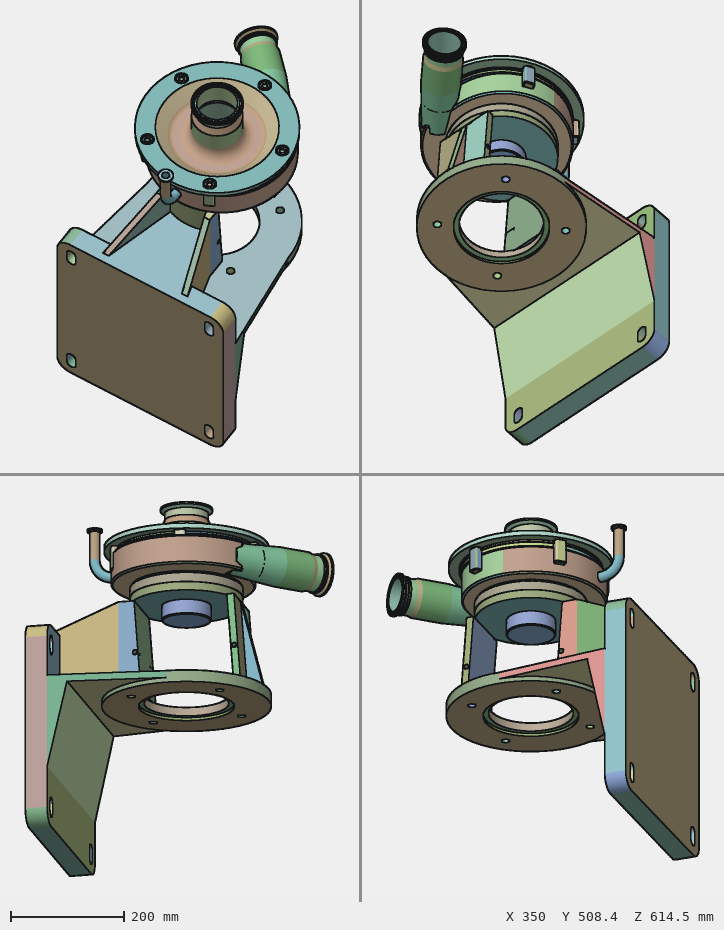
import cadquery as cq
import math


plate_width = 350.0
plate_height = 372.0
plate_front_y = -250.0
plate_thickness = 40.0
plate_back_y = plate_front_y + plate_thickness
plate_corner_radius = 27.5
slot_length = 35.5
slot_width = 18.5
slot_spacing_x = 290.0
slot_spacing_z = 300.0

shelf_top_z = 271.5
shelf_thickness = 13.0
shelf_radius = 150.0
motor_pad_thickness = 21.5
motor_bore_radius = 75.0
motor_recess_radius = 85.0
motor_recess_depth = 5.5
motor_hole_diameter = 14.0
motor_hole_circle_radius = 113.5
motor_hole_count = 4
motor_hole_first_angle = 45.0
brace_depth = 35.0
brace_bottom_z = 103.0

upright_top_z = 435.0
upright_half_width = 56.0
upright_lean = 12.0
front_wall_inner_y = -82.0
back_plate_inner_y = 87.0
back_plate_thickness = 13.0
back_rib_thickness = 12.0
back_rib_reach = 142.0
gusset_thickness = 11.5
gusset_angle = 15.0
gusset_knee_y = -110.0
gusset_end_y = -233.5
guard_hole_diameter = 8.5
guard_hole_depth = 18.5
guard_hole_z = 340.0
front_guard_hole_y = -80.0

backplate_radius = 100.0
lantern_ring_radius = 99.5
backplate_joint_z = 450.5
backplate_groove_radius = 98.0
backplate_top_z = 467.5
hub_radius = 43.5
hub_bottom_z = 408.0
hub_chamfer = 2.0
volute_radius = 134.5
volute_offset_x = 8.0
volute_offset_y = 3.0
volute_throat_angle = 60.0
volute_back_radius = 121.5
volute_bottom_z = 471.5
volute_top_z = 525.0
volute_chamfer = 3.0
lip_radius = 125.0

cover_radius = 145.5
cover_bottom_z = 535.0
cover_top_z = 544.5
cover_step_radius = 127.0
cover_step_height = 3.5
dish_rim_radius = 109.5
dish_rim_chamfer = 1.0
dish_depth = 24.5
dish_cone_foot_radius = 87.0
dish_cone_foot_depth = 21.0
dish_floor_outer_radius = 77.0
dish_floor_inner_radius = 67.0
inlet_radius = 45.5
inlet_cone_bottom_z = 579.0
inlet_cone_top_z = 593.0
inlet_neck_radius = 39.0
inlet_rim_radius = 46.0
inlet_rim_thickness = 3.5
inlet_rim_taper = 4.0
inlet_bore_radius = 36.0
inlet_bore_neck_bottom_z = 574.5
inlet_bore_wide_top_z = 560.5
inlet_bore_wide_radius = 42.5
inlet_bore_bottom_z = 497.0
inlet_top_z = 614.5

groove_width = 3.0
groove_depth = 1.0
inlet_groove_radius = 42.0
outlet_groove_radius = 34.5

bolt_count = 5
bolt_first_angle = 9.0
bolt_circle_radius = 126.0
bolt_boss_width = 20.0
bolt_boss_inner_radius = 113.5
bolt_boss_outer_radius = 137.0
bolt_boss_bottom_z = 492.0
bolt_boss_rounding = 3.5
bolt_boss_foot_chamfer = 2.0
bolt_recess_radius = 11.5
bolt_recess_depth = 7.5
bolt_head_radius = 9.0
bolt_head_gap = 0.5
bolt_socket_width = 10.0
bolt_socket_depth = 3.5

outlet_angle = 135.0
outlet_offset = 115.0
outlet_z = 496.5
outlet_start = 18.5
outlet_cone_end = 117.5
outlet_pipe_end = 174.0
outlet_neck_start = 182.0
outlet_end = 211.5
outlet_start_radius = 28.0
outlet_radius = 35.5
outlet_neck_radius = 33.0
outlet_rim_radius = 39.0
outlet_rim_thickness = 3.5
outlet_rim_taper = 4.0
outlet_bore_radius = 30.0
outlet_bore_start = 74.0
outlet_bead_start = 195.5
outlet_bead_end = 200.0
outlet_bead_radius = 35.0

drain_radius = 9.0
drain_bore_radius = 7.0
drain_y = -167.0
drain_bend_radius = 34.0
drain_inlet_z = 498.5
drain_top_z = 588.5
drain_rim_radius = 13.5
drain_rim_thickness = 2.5
drain_rim_taper = 2.5
drain_root_y = -117.0


def cylinder(radius, bottom_z, top_z, x=0.0, y=0.0):
    return cq.Workplane("XY", origin=(x, y, bottom_z)).circle(radius).extrude(top_z - bottom_z)


def box_between(x_range, y_range, z_range):
    lows = [r[0] for r in (x_range, y_range, z_range)]
    sizes = [r[1] - r[0] for r in (x_range, y_range, z_range)]
    return cq.Workplane("XY").box(*sizes, centered=False).translate(tuple(lows))


def side_profile(points, half_width):
    """Extrude a (Y, Z) outline symmetrically along X."""
    return cq.Workplane("YZ").polyline(points).close().extrude(half_width, both=True)


def wall_plate():
    centre = (0, plate_back_y, plate_height / 2)
    plate = (
        cq.Workplane("XZ", origin=centre)
        .rect(plate_width, plate_height)
        .extrude(plate_thickness)
        .edges("|Y")
        .fillet(plate_corner_radius)
    )
    slots = (
        cq.Workplane("XZ", origin=centre)
        .rect(slot_spacing_x, slot_spacing_z, forConstruction=True)
        .vertices()
        .slot2D(slot_length, slot_width, 90)
        .extrude(plate_thickness)
    )
    return plate.cut(slots)


def shelf_outline(bottom_z, top_z):
    """Plan shape of the shelf: a half disc widening to the full width of the wall plate."""
    half_width = plate_width / 2
    return (
        cq.Workplane("XY", origin=(0, 0, bottom_z))
        .moveTo(shelf_radius, 0)
        .threePointArc((0, shelf_radius), (-shelf_radius, 0))
        .lineTo(-half_width, plate_back_y)
        .lineTo(half_width, plate_back_y)
        .close()
        .extrude(top_z - bottom_z)
    )


def shelf():
    slab_bottom_z = shelf_top_z - shelf_thickness
    pad_bottom_z = shelf_top_z - motor_pad_thickness
    brace = side_profile(
        [
            (plate_back_y, brace_bottom_z),
            (plate_back_y, slab_bottom_z),
            (plate_back_y + brace_depth, slab_bottom_z),
        ],
        plate_width / 2,
    ).intersect(shelf_outline(brace_bottom_z, slab_bottom_z))
    holes = (
        cq.Workplane("XY", origin=(0, 0, pad_bottom_z))
        .polarArray(motor_hole_circle_radius, motor_hole_first_angle, 360, motor_hole_count)
        .circle(motor_hole_diameter / 2)
        .extrude(motor_pad_thickness)
    )
    return (
        shelf_outline(slab_bottom_z, shelf_top_z)
        .union(cylinder(shelf_radius, pad_bottom_z, shelf_top_z))
        .union(brace)
        .cut(cylinder(motor_bore_radius, pad_bottom_z, shelf_top_z))
        .cut(cylinder(motor_recess_radius, pad_bottom_z, pad_bottom_z + motor_recess_depth))
        .cut(holes)
    )


def front_upright():
    """Curved front wall, two splayed gussets, and the solid web between them up to the plate top."""
    wall = side_profile(
        [
            (front_wall_inner_y, upright_top_z),
            (front_wall_inner_y + upright_lean, shelf_top_z),
            (-lantern_ring_radius, shelf_top_z),
            (-lantern_ring_radius, upright_top_z),
        ],
        upright_half_width,
    ).intersect(cylinder(lantern_ring_radius, shelf_top_z, upright_top_z))

    splay = math.tan(math.radians(gusset_angle))
    width_across = gusset_thickness / math.cos(math.radians(gusset_angle))
    end_x = upright_half_width + splay * (gusset_knee_y - gusset_end_y)
    root_y = front_wall_inner_y + upright_lean
    root_x = upright_half_width - width_across + splay * (gusset_knee_y - root_y)
    side_outline = [
        (upright_half_width, root_y),
        (upright_half_width, gusset_knee_y),
        (end_x, gusset_end_y),
        (end_x - width_across, gusset_end_y),
        (root_x, root_y),
    ]
    height = upright_top_z - shelf_top_z
    base = cq.Workplane("XY", origin=(0, 0, shelf_top_z))
    gusset = base.polyline(side_outline).close().extrude(height)
    gussets = gusset.union(gusset.mirror("YZ"))
    web = (
        base.polyline([(root_x, root_y), (end_x, gusset_end_y), (-end_x, gusset_end_y), (-root_x, root_y)])
        .close()
        .extrude(plate_height - shelf_top_z)
    )
    slope = side_profile(
        [
            (front_wall_inner_y, upright_top_z),
            (root_y, shelf_top_z),
            (plate_back_y, shelf_top_z),
            (plate_back_y, plate_height),
            (gusset_end_y, plate_height),
            (gusset_knee_y, upright_top_z),
        ],
        plate_width / 2,
    )
    return wall.union(gussets.union(web).intersect(slope))


def back_upright():
    """Leaning plate stiffened by one rib on its rear face."""
    outer_y = back_plate_inner_y + back_plate_thickness
    plate = side_profile(
        [
            (back_plate_inner_y, upright_top_z),
            (outer_y, upright_top_z),
            (outer_y + upright_lean, shelf_top_z),
            (back_plate_inner_y + upright_lean, shelf_top_z),
        ],
        upright_half_width,
    )
    rib = side_profile(
        [(outer_y, upright_top_z), (back_rib_reach, shelf_top_z), (outer_y, shelf_top_z)],
        back_rib_thickness / 2,
    )
    return plate.union(rib)


def guard_holes():
    drop = (upright_top_z - guard_hole_z) / (upright_top_z - shelf_top_z)
    back_y = back_plate_inner_y + back_plate_thickness / 2 + upright_lean * drop
    holes = cq.Workplane("XY")
    for y in (front_guard_hole_y, back_y):
        for side in (-1, 1):
            hole = (
                cq.Workplane("YZ", origin=(side * upright_half_width, y, guard_hole_z))
                .circle(guard_hole_diameter / 2)
                .extrude(-side * guard_hole_depth)
            )
            holes = holes.add(hole)
    return holes.combine()


def volute():
    """Spiral chamber: one wide arc off the pump axis, closed by a narrower arc behind the axis."""
    throat = math.radians(volute_throat_angle)
    start = (volute_offset_x - volute_radius, volute_offset_y)
    lowest = (volute_offset_x, volute_offset_y - volute_radius)
    throat_end = (
        volute_offset_x + volute_radius * math.cos(throat),
        volute_offset_y + volute_radius * math.sin(throat),
    )
    mean_reach = (volute_back_radius - start[0]) / 2 * math.sqrt(0.5)
    return (
        cq.Workplane("XY", origin=(0, 0, volute_bottom_z))
        .moveTo(*start)
        .threePointArc(lowest, throat_end)
        .lineTo(0, volute_back_radius)
        .threePointArc((-mean_reach, mean_reach), start)
        .close()
        .extrude(volute_top_z - volute_bottom_z)
        .faces("<Z or >Z")
        .chamfer(volute_chamfer)
    )


def casing():
    hub = cylinder(hub_radius, hub_bottom_z, upright_top_z).faces("<Z").chamfer(hub_chamfer)
    return (
        cylinder(lantern_ring_radius, upright_top_z, backplate_joint_z)
        .union(cylinder(backplate_radius, backplate_joint_z, backplate_top_z))
        .union(cylinder(backplate_groove_radius, backplate_top_z, volute_bottom_z))
        .union(hub)
        .union(volute())
        .union(cylinder(lip_radius, volute_top_z, cover_bottom_z))
    )


def cover_and_inlet():
    """Cover disc with a dished top and the inlet pipe, turned about the pump axis."""
    floor_z = cover_top_z - dish_depth
    blend_radius = dish_floor_inner_radius - inlet_radius
    blend_reach = blend_radius * (1 - math.sqrt(0.5))
    rim_base_z = inlet_top_z - inlet_rim_thickness
    return (
        cq.Workplane("XZ")
        .moveTo(0, volute_bottom_z)
        .lineTo(dish_rim_radius, volute_bottom_z)
        .lineTo(dish_rim_radius, volute_top_z)
        .lineTo(lip_radius, volute_top_z)
        .lineTo(lip_radius, cover_bottom_z - cover_step_height)
        .lineTo(cover_step_radius, cover_bottom_z - cover_step_height)
        .lineTo(cover_step_radius, cover_bottom_z)
        .lineTo(cover_radius, cover_bottom_z)
        .lineTo(cover_radius, cover_top_z)
        .lineTo(dish_rim_radius, cover_top_z)
        .lineTo(dish_rim_radius - dish_rim_chamfer, cover_top_z - dish_rim_chamfer)
        .lineTo(dish_cone_foot_radius, cover_top_z - dish_cone_foot_depth)
        .tangentArcPoint((dish_floor_outer_radius, floor_z), relative=False)
        .lineTo(dish_floor_inner_radius, floor_z)
        .threePointArc(
            (inlet_radius + blend_reach, floor_z + blend_reach),
            (inlet_radius, floor_z + blend_radius),
        )
        .lineTo(inlet_radius, inlet_cone_bottom_z)
        .lineTo(inlet_neck_radius, inlet_cone_top_z)
        .lineTo(inlet_neck_radius, rim_base_z - inlet_rim_taper)
        .lineTo(inlet_rim_radius, rim_base_z)
        .lineTo(inlet_rim_radius, inlet_top_z)
        .lineTo(0, inlet_top_z)
        .close()
        .revolve(360, (0, 0, 0), (0, 1, 0))
    )


def outlet_pipe():
    rim_start = outlet_end - outlet_rim_thickness
    return (
        cq.Workplane("XY")
        .moveTo(outlet_start, 0)
        .lineTo(outlet_start, outlet_start_radius)
        .lineTo(outlet_cone_end, outlet_radius)
        .lineTo(outlet_pipe_end, outlet_radius)
        .lineTo(outlet_neck_start, outlet_neck_radius)
        .lineTo(outlet_bead_start, outlet_neck_radius)
        .lineTo(outlet_bead_start, outlet_bead_radius)
        .lineTo(outlet_bead_end, outlet_bead_radius)
        .lineTo(outlet_bead_end, outlet_neck_radius)
        .lineTo(rim_start - outlet_rim_taper, outlet_neck_radius)
        .lineTo(rim_start, outlet_rim_radius)
        .lineTo(outlet_end, outlet_rim_radius)
        .lineTo(outlet_end, 0)
        .close()
        .revolve(360, (0, 0, 0), (1, 0, 0))
    )


def gasket_groove(plane, origin, middle_radius):
    return (
        cq.Workplane(plane, origin=origin)
        .circle(middle_radius + groove_width / 2)
        .circle(middle_radius - groove_width / 2)
        .extrude(-groove_depth)
    )


def outlet_bore():
    bore = (
        cq.Workplane("YZ", origin=(outlet_bore_start, 0, 0))
        .circle(outlet_bore_radius)
        .extrude(outlet_end - outlet_bore_start)
    )
    return bore.union(gasket_groove("YZ", (outlet_end, 0, 0), outlet_groove_radius))


def inlet_bore():
    """Bore that widens below the neck of the inlet."""
    bore = (
        cq.Workplane("XZ")
        .moveTo(0, inlet_bore_bottom_z)
        .lineTo(inlet_bore_wide_radius, inlet_bore_bottom_z)
        .lineTo(inlet_bore_wide_radius, inlet_bore_wide_top_z)
        .lineTo(inlet_bore_radius, inlet_bore_neck_bottom_z)
        .lineTo(inlet_bore_radius, inlet_top_z)
        .lineTo(0, inlet_top_z)
        .close()
        .revolve(360, (0, 0, 0), (0, 1, 0))
    )
    return bore.union(gasket_groove("XY", (0, 0, inlet_top_z), inlet_groove_radius))


def at_outlet(body):
    """Move a body built along the X axis onto the outlet axis."""
    return body.translate((0, -outlet_offset, outlet_z)).rotate((0, 0, 0), (0, 0, 1), outlet_angle)


def drain_tube():
    bend_y = drain_y + drain_bend_radius
    bend_z = drain_inlet_z + drain_bend_radius
    bend_reach = drain_bend_radius * math.sqrt(0.5)
    path = (
        cq.Workplane("YZ")
        .moveTo(drain_root_y, drain_inlet_z)
        .lineTo(bend_y, drain_inlet_z)
        .threePointArc((bend_y - bend_reach, bend_z - bend_reach), (drain_y, bend_z))
        .lineTo(drain_y, drain_top_z)
    )
    rim_base_z = drain_top_z - drain_rim_thickness
    rim = (
        cylinder(drain_rim_radius, rim_base_z - drain_rim_taper, drain_top_z, 0, drain_y)
        .faces("<Z")
        .chamfer(drain_rim_taper)
    )
    tube = cq.Workplane("XZ", origin=(0, drain_root_y, drain_inlet_z)).circle(drain_radius).sweep(path)
    bore = cylinder(drain_bore_radius, bend_z, drain_top_z, 0, drain_y)
    return tube.union(rim).cut(bore)


def bolt_boss():
    """Rounded block below the cover, on the +X side of the pump axis."""
    boss = box_between(
        (bolt_boss_inner_radius, bolt_boss_outer_radius),
        (-bolt_boss_width / 2, bolt_boss_width / 2),
        (bolt_boss_bottom_z, cover_bottom_z),
    )
    return boss.edges("|Z").fillet(bolt_boss_rounding).faces("<Z").chamfer(bolt_boss_foot_chamfer)


def bolt_recess():
    """Ring-shaped clearance around a bolt head, with the hexagon socket of the head."""
    floor_z = cover_top_z - bolt_recess_depth
    head_top_z = cover_top_z - bolt_head_gap
    head = cylinder(bolt_head_radius, floor_z, head_top_z, bolt_circle_radius)
    socket = (
        cq.Workplane("XY", origin=(bolt_circle_radius, 0, head_top_z))
        .polygon(6, bolt_socket_width, circumscribed=True)
        .extrude(-bolt_socket_depth)
    )
    return cylinder(bolt_recess_radius, floor_z, cover_top_z, bolt_circle_radius).cut(head).union(socket)


def at_bolt(body, index):
    return body.rotate((0, 0, 0), (0, 0, 1), bolt_first_angle + index * 360 / bolt_count)


bracket = wall_plate().union(shelf()).union(front_upright()).union(back_upright()).cut(guard_holes())
dish_floor_z = cover_top_z - dish_depth
dish_space = cylinder(dish_rim_radius, dish_floor_z, cover_top_z)
pump = casing().union(at_outlet(outlet_pipe())).union(drain_tube()).cut(dish_space).union(cover_and_inlet())
for bolt_index in range(bolt_count):
    pump = pump.union(at_bolt(bolt_boss(), bolt_index)).cut(at_bolt(bolt_recess(), bolt_index))
pump = pump.cut(at_outlet(outlet_bore())).cut(inlet_bore())

result = bracket.union(pump)